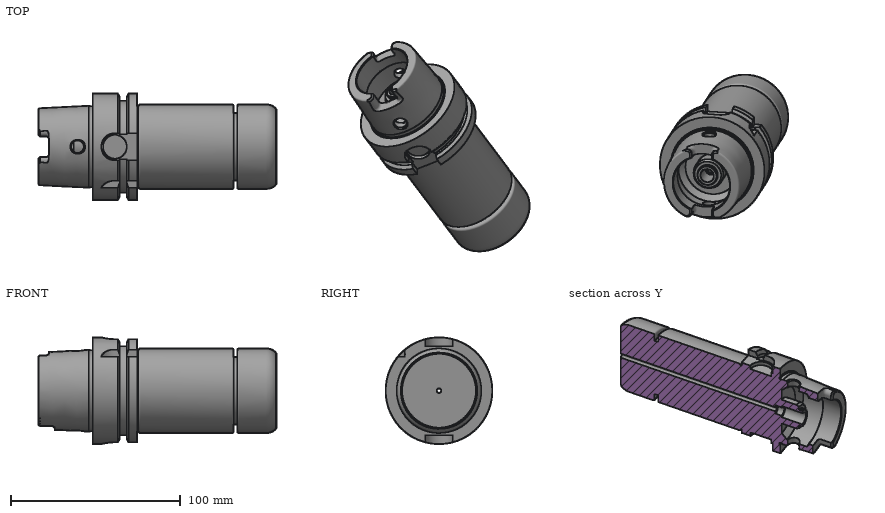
import cadquery as cq
import math

LENGTH = 140.4

TINY_OVERLAP = 0.7
JOIN_DEPTH = 2.8

NOSE_RADIUS = 22.7
TAPER_SLOPE = 0.05
TAPER_END = 29.8
RELIEF_DEPTH = 0.3
RELIEF_START = 30.7
FACE_RECESS_RADIUS = 25.0
FACE_RECESS_DEPTH = 0.4
NOSE_ROUNDING = 1.0

FLANGE_RADIUS = 63.0 / 2
FLANGE_START = 31.9
FLANGE_END = 58.1
GROOVE_CENTER = 50.0
GROOVE_FLOOR_WIDTH = 3.9
GROOVE_FLOOR_RADIUS = 27.2
GROOVE_RIM_WIDTH = 6.5
GROOVE_WALL_RADIUS = 29.2

BODY_RADIUS = 50.0 / 2
NECK_RADIUS = 24.0
BODY_START = 59.0
BODY_END = 115.1
NUT_START = 117.2
NUT_GAP_RADIUS = 40.0 / 2
BODY_ROUNDING = 1.1
NUT_CROWN_START = 134.5
NUT_CROWN_END = 139.9
NUT_CROWN_RADIUS = 7.5
NUT_FACE_RADIUS = 21.8

BORE_RADIUS = 17.0
BORE_MOUTH_CHAMFER = 0.4
UNDERCUT_START = 12.6
UNDERCUT_RADIUS = 19.4
UNDERCUT_WALL_RUN = 1.1
BORE_FLOOR_RADIUS = 15.9
BORE_DEPTH = 30.9
FITTING_RADIUS = 18.0 / 2
FITTING_TOP_RADIUS = 8.0
FITTING_TOP = 19.1
FITTING_CHAMFER_END = 20.8
TUBE_RADIUS = 12.0 / 2
TUBE_TIP_RADIUS = 11.4 / 2
TUBE_TIP = 16.8
TUBE_CHAMFER = 0.7
TUBE_BORE_DIAMETER = 8.0
TUBE_STEP_DIAMETER = 5.8
TUBE_STEP_DEPTH = 35.1
COOLANT_HOLE_DIAMETER = 2.5

SLOT_HALF_WIDTH = 6.0
SLOT_FLARE_RADIUS = 2.5
SLOT_FLARE_TOP = 20.9
SLOT_CORNER_RADIUS = 1.7
SLOT_MOUTH_CHAMFER = 1.0
SHALLOW_SLOT_DEPTH = 6.2
DEEP_SLOT_DEPTH = 9.5

RADIAL_HOLE_X = 23.0
RADIAL_HOLE_DIAMETER = 7.5
RADIAL_HOLE_MOUTH_DIAMETER = 9.0

KEYWAY_X = 45.0
KEYWAY_RADIUS = 8.0
KEYWAY_FLOOR = 26.2
KEYWAY_HOLE_DIAMETER = 14.0
KEYWAY_HOLE_DEPTH = 2.5
NOTCH_X = 44.4
NOTCH_OFFSET = 20.0
NOTCH_RADIUS = 8.7


def taper_radius(x):
    return NOSE_RADIUS + TAPER_SLOPE * x


def revolve_profile(profile):
    """Turn a closed (X, radius) profile about the X axis."""
    return profile.close().revolve(360, (0, 0, 0), (1, 0, 0))


def cylinder_along_x(diameter, start, end):
    return cq.Workplane("YZ", origin=(start, 0, 0)).circle(diameter / 2).extrude(end - start)


def both_sides(tool):
    """Pair a tool on the +Z side with its half-turn copy on the -Z side."""
    return tool.union(tool.rotate((0, 0, 0), (1, 0, 0), 180))


def shank_and_flange():
    relief_radius = taper_radius(TAPER_END) - RELIEF_DEPTH
    recess_floor = FLANGE_START + FACE_RECESS_DEPTH
    rim = GROOVE_RIM_WIDTH / 2
    floor = GROOVE_FLOOR_WIDTH / 2
    outline = (
        cq.Workplane("XY")
        .moveTo(0, 0)
        .lineTo(0, NOSE_RADIUS)
        .lineTo(TAPER_END, taper_radius(TAPER_END))
        .lineTo(RELIEF_START, relief_radius)
        .lineTo(recess_floor, relief_radius)
        .lineTo(recess_floor, FACE_RECESS_RADIUS)
        .lineTo(FLANGE_START, FACE_RECESS_RADIUS)
        .lineTo(FLANGE_START, FLANGE_RADIUS)
        .lineTo(GROOVE_CENTER - rim, FLANGE_RADIUS)
        .lineTo(GROOVE_CENTER - floor, GROOVE_WALL_RADIUS)
        .lineTo(GROOVE_CENTER - floor, GROOVE_FLOOR_RADIUS)
        .lineTo(GROOVE_CENTER + floor, GROOVE_FLOOR_RADIUS)
        .lineTo(GROOVE_CENTER + floor, GROOVE_WALL_RADIUS)
        .lineTo(GROOVE_CENTER + rim, FLANGE_RADIUS)
        .lineTo(FLANGE_END, FLANGE_RADIUS)
        .lineTo(FLANGE_END, 0)
    )
    return revolve_profile(outline).faces("<X").edges().fillet(NOSE_ROUNDING)


def rounded_body():
    body = cylinder_along_x(2 * BODY_RADIUS, BODY_START, BODY_END)
    return body.edges().fillet(BODY_ROUNDING)


def clamping_nut():
    crown_angle = math.asin((NUT_CROWN_END - NUT_CROWN_START) / NUT_CROWN_RADIUS)
    crown_drop = NUT_CROWN_RADIUS * (1 - math.cos(crown_angle))
    outline = (
        cq.Workplane("XY")
        .moveTo(NUT_START, 0)
        .lineTo(NUT_START, BODY_RADIUS)
        .lineTo(NUT_CROWN_START, BODY_RADIUS)
        .radiusArc((NUT_CROWN_END, BODY_RADIUS - crown_drop), NUT_CROWN_RADIUS)
        .lineTo(LENGTH, NUT_FACE_RADIUS)
        .lineTo(LENGTH, 0)
    )
    return revolve_profile(outline).faces("<X").edges().fillet(BODY_ROUNDING)


def shank_bore():
    """Bore with a chamfered mouth and a clamping undercut, closing in at 45 degrees to a flat floor."""
    closing_run = UNDERCUT_RADIUS - BORE_FLOOR_RADIUS
    outline = (
        cq.Workplane("XY")
        .lineTo(0, BORE_RADIUS + BORE_MOUTH_CHAMFER)
        .lineTo(BORE_MOUTH_CHAMFER, BORE_RADIUS)
        .lineTo(UNDERCUT_START, BORE_RADIUS)
        .lineTo(UNDERCUT_START + UNDERCUT_WALL_RUN, UNDERCUT_RADIUS)
        .lineTo(BORE_DEPTH - closing_run, UNDERCUT_RADIUS)
        .lineTo(BORE_DEPTH, BORE_FLOOR_RADIUS)
        .lineTo(BORE_DEPTH, 0)
    )
    return revolve_profile(outline)


def coolant_fitting():
    base = BORE_DEPTH + TINY_OVERLAP
    outline = (
        cq.Workplane("XY")
        .moveTo(TUBE_TIP, 0)
        .lineTo(TUBE_TIP, TUBE_TIP_RADIUS)
        .lineTo(TUBE_TIP + TUBE_CHAMFER, TUBE_RADIUS)
        .lineTo(FITTING_TOP, TUBE_RADIUS)
        .lineTo(FITTING_TOP, FITTING_TOP_RADIUS)
        .lineTo(FITTING_CHAMFER_END, FITTING_RADIUS)
        .lineTo(base, FITTING_RADIUS)
        .lineTo(base, 0)
    )
    return revolve_profile(outline)


def coolant_passage():
    passage = cylinder_along_x(TUBE_BORE_DIAMETER, TUBE_TIP, BORE_DEPTH)
    passage = passage.union(cylinder_along_x(TUBE_STEP_DIAMETER, TUBE_TIP, TUBE_STEP_DEPTH))
    return passage.union(cylinder_along_x(COOLANT_HOLE_DIAMETER, TUBE_TIP, LENGTH))


def slot_wall_edges(x):
    """Select the edges of the slot walls, flares included, that lie in the plane at this X."""
    side = FLANGE_RADIUS / 2 - TINY_OVERLAP
    top = FLANGE_RADIUS - TINY_OVERLAP
    near = TINY_OVERLAP / 10
    return cq.selectors.BoxSelector((x - near, -side, TINY_OVERLAP), (x + near, side, top))


def drive_slot(depth):
    """Slot on the +Z side: walls flare outward near the shank surface, mouth chamfered, end rounded."""
    flare_start = SLOT_FLARE_TOP - SLOT_FLARE_RADIUS
    flare_half_width = SLOT_HALF_WIDTH + SLOT_FLARE_RADIUS
    side = FLANGE_RADIUS / 2
    outer = FLANGE_RADIUS
    section = (
        cq.Workplane("YZ")
        .moveTo(-SLOT_HALF_WIDTH, 0)
        .lineTo(-SLOT_HALF_WIDTH, flare_start)
        .radiusArc((-flare_half_width, SLOT_FLARE_TOP), -SLOT_FLARE_RADIUS)
        .lineTo(-side, SLOT_FLARE_TOP)
        .lineTo(-side, outer)
        .lineTo(side, outer)
        .lineTo(side, SLOT_FLARE_TOP)
        .lineTo(flare_half_width, SLOT_FLARE_TOP)
        .radiusArc((SLOT_HALF_WIDTH, flare_start), -SLOT_FLARE_RADIUS)
        .lineTo(SLOT_HALF_WIDTH, 0)
        .close()
    )
    plate = cq.Workplane("YZ").rect(2 * side, 2 * outer).extrude(-TINY_OVERLAP)
    slot = section.extrude(depth).union(plate)
    slot = slot.edges(slot_wall_edges(0)).chamfer(SLOT_MOUTH_CHAMFER)
    return slot.edges(slot_wall_edges(depth)).fillet(SLOT_CORNER_RADIUS)


def radial_hole():
    mouth_z = taper_radius(RADIAL_HOLE_X)
    mouth_radius = RADIAL_HOLE_MOUTH_DIAMETER / 2
    hole_radius = RADIAL_HOLE_DIAMETER / 2
    half_section = (
        cq.Workplane("XZ", origin=(RADIAL_HOLE_X, 0, 0))
        .moveTo(0, BORE_RADIUS)
        .lineTo(hole_radius, BORE_RADIUS)
        .lineTo(hole_radius, mouth_z - (mouth_radius - hole_radius))
        .lineTo(mouth_radius, mouth_z)
        .lineTo(mouth_radius, mouth_z + TINY_OVERLAP)
        .lineTo(0, mouth_z + TINY_OVERLAP)
        .close()
    )
    return half_section.revolve(360, (0, 0, 0), (0, 1, 0))


def flange_keyway():
    """Round-ended keyway open toward the body, with a shallow round pocket in its floor."""
    height = FLANGE_RADIUS - KEYWAY_FLOOR + TINY_OVERLAP
    run = FLANGE_END - KEYWAY_X
    floor = cq.Workplane("XY", origin=(KEYWAY_X, 0, KEYWAY_FLOOR))
    keyway = floor.circle(KEYWAY_RADIUS).extrude(height)
    keyway = keyway.union(floor.center(run / 2, 0).rect(run, 2 * KEYWAY_RADIUS).extrude(height))
    return keyway.union(floor.circle(KEYWAY_HOLE_DIAMETER / 2).extrude(-KEYWAY_HOLE_DEPTH))


def corner_notch():
    """Square notch at the -Y, +Z corner of the flange, its closed end left round by the cutter."""
    run = FLANGE_END - NOTCH_X
    height = FLANGE_RADIUS - NOTCH_OFFSET
    cutter_y = -NOTCH_OFFSET - NOTCH_RADIUS
    floor = cq.Workplane("XY", origin=(NOTCH_X, cutter_y, NOTCH_OFFSET))
    notch = floor.circle(NOTCH_RADIUS).extrude(height)
    return notch.union(floor.center(run / 2, 0).rect(run, 2 * NOTCH_RADIUS).extrude(height))


result = shank_and_flange()
neck_end = BODY_START + JOIN_DEPTH
result = result.union(cylinder_along_x(2 * NECK_RADIUS, FLANGE_END - TINY_OVERLAP, neck_end))
result = result.union(rounded_body())
result = result.union(cylinder_along_x(2 * NUT_GAP_RADIUS, BODY_END - JOIN_DEPTH, NUT_START + JOIN_DEPTH))
result = result.union(clamping_nut())

result = result.cut(drive_slot(SHALLOW_SLOT_DEPTH))
result = result.cut(drive_slot(DEEP_SLOT_DEPTH).rotate((0, 0, 0), (1, 0, 0), 180))
result = result.cut(shank_bore())
result = result.union(coolant_fitting())
result = result.cut(coolant_passage())
result = result.cut(both_sides(radial_hole()))

result = result.cut(both_sides(flange_keyway()))
result = result.cut(corner_notch())